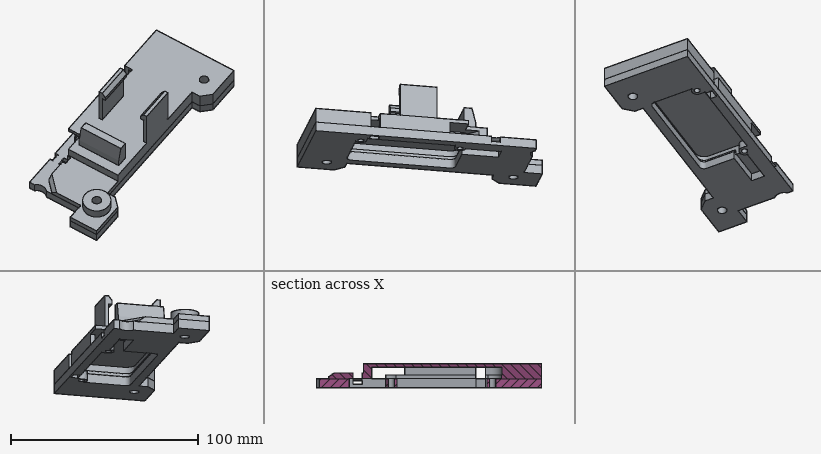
import cadquery as cq
import math

base_height = 5.0
lip_height = 2.0
cover_low_top = 8.0
cover_top = 13.0
ceiling_thickness = 2.0
cavity_top = cover_top - ceiling_thickness

body_width = 40.0
tab_reach = 10.0
full_width = body_width + tab_reach
full_length = 129.7
front_edge = 9.9
tab_left = 33.0
tab_length = 25.0
tab_chamfer = 5.0
strip_width = 8.0

notch_radius = 10.5 / 2
notch_x = 7.1
notch_half_chord = 3.85

screw_x = 40.4
screw_inset = 14.2
screw_ys = (screw_inset, full_length - screw_inset)
screw_diameter = 5.0
boss_diameter = 15.0

wall = 2.45
lip_clearance = 0.25
lip_thickness = 1.25
ledge_width = 1.0
corner_radius = 5.0
cavity_front = 44.75
cavity_back = 108.6
cavity_chamfer = 5.35
pad_radius = 3.0
pad_hole_diameter = 3.2
pad_pocket_diameter = 9.4
pad_inset = 5.0
pad_x = 8.0
pad_ys = (cavity_front + pad_inset, cavity_back - pad_inset)

step_y = 34.9
corner_cut_back = 46.7
window_back = 56.8
side_slot_front = 94.7
side_slot_back = 99.7
side_slot_depth = 4.75
side_slot_sill = 1.15
bevel_leg = 6.5
bevel_bottom = 6.0
bevel_setback = 2.95

tie_front = 29.4
tie_back = 34.2
tie_end = 9.85
tie_floor = 2.0
saddle_left = 1.65
saddle_right = 5.8
saddle_bottom = 3.7

bay_margin = 2.0
bay_front = tie_front - bay_margin
bay_right = strip_width + cavity_chamfer + lip_thickness + ledge_width
bay_back = cavity_front + lip_clearance + lip_thickness + ledge_width

clip_outer_xs = (9.4, body_width)
clip_thickness = 2.0
clip_front = 61.9
clip_length = 20.0
clip_top = 35.0
hook_reach = 2.0
hook_bottom = 30.5
hook_bevel = 2.5
stop_left = 10.95
stop_right = 36.5
stop_back = 46.9
stop_bottom_depth = 6.3
stop_top_depth = 4.2
stop_slope_start = 17.0
stop_top = 25.1


def box(x0, x1, y0, y1, z0, z1):
    """Axis-aligned block between two opposite corners."""
    return cq.Workplane("XY").box(x1 - x0, y1 - y0, z1 - z0, centered=False).translate((x0, y0, z0))


def cylinder(x, y, diameter, z0, z1):
    """Upright cylinder."""
    return cq.Workplane("XY", origin=(x, y, z0)).circle(diameter / 2).extrude(z1 - z0)


def prism(points, z0, z1):
    """Upright prism over a closed plan outline."""
    return cq.Workplane("XY", origin=(0, 0, z0)).polyline(points).close().extrude(z1 - z0)


def plan_prism(z0, z1):
    """Body outline shared by the base and the cover, with the two chamfered tabs."""
    front_tab_back = tab_length
    back_tab_front = full_length - tab_length
    neck = full_width - tab_chamfer
    points = [
        (0, front_edge),
        (tab_left, front_edge),
        (tab_left, 0),
        (full_width, 0),
        (full_width, front_tab_back - tab_chamfer),
        (neck, front_tab_back),
        (body_width, front_tab_back),
        (body_width, back_tab_front),
        (neck, back_tab_front),
        (full_width, back_tab_front + tab_chamfer),
        (full_width, full_length),
        (0, full_length),
    ]
    return prism(points, z0, z1)


def rounded_room(inset, z0, z1):
    """Rounded rectangle inset from the cavity walls, with corners that stay concentric."""
    margin = wall + inset
    room = box(margin, body_width - margin, cavity_front + inset, cavity_back - inset, z0, z1)
    return room.edges("|Z").fillet(corner_radius + lip_clearance - inset)


def cut_screw_holes(body):
    for y in screw_ys:
        body = body.cut(cylinder(screw_x, y, screw_diameter, 0, cover_top))
    return body


def make_tie_passage():
    """Passage for a cable tie: a cross slot that dips under a rounded saddle."""
    slot = box(0, strip_width, tie_front, tie_back, tie_floor, base_height)
    saddle_middle = (saddle_left + saddle_right) / 2
    saddle = (
        cq.Workplane("XZ", origin=(0, tie_back, 0))
        .moveTo(saddle_left, base_height)
        .threePointArc((saddle_middle, saddle_bottom), (saddle_right, base_height))
        .close()
        .extrude(tie_back - tie_front)
    )
    return slot.cut(saddle)


def make_base():
    lip_top = base_height + lip_height
    lip = rounded_room(lip_clearance, base_height, lip_top)
    body = plan_prism(0, base_height).union(lip)

    lip_inset = lip_clearance + lip_thickness
    body = body.cut(rounded_room(lip_inset, base_height, lip_top))
    opening = rounded_room(lip_inset + ledge_width, 0, base_height)
    opening = opening.cut(box(0, strip_width, 0, corner_cut_back, 0, base_height))
    body = body.cut(opening).cut(box(strip_width, bay_right, bay_front, bay_back, 0, lip_top))
    body = body.cut(box(0, strip_width, 0, corner_cut_back, base_height, lip_top))

    for y in pad_ys:
        body = body.cut(cylinder(pad_x, y, pad_pocket_diameter, base_height, lip_top))
        body = body.union(cylinder(pad_x, y, 2 * pad_radius, 0, base_height))
        body = body.union(box(wall, pad_x, y - pad_radius, y + pad_radius, 0, base_height))
        body = body.cut(cylinder(pad_x, y, pad_hole_diameter, 0, base_height))

    notch_y = front_edge - math.sqrt(notch_radius**2 - notch_half_chord**2)
    body = body.cut(cylinder(notch_x, notch_y, 2 * notch_radius, 0, base_height))

    body = body.cut(make_tie_passage())
    body = body.cut(box(side_slot_sill, side_slot_depth, side_slot_front, side_slot_back, 0, lip_top))
    return cut_screw_holes(body)


def make_clip(outer_x, inward):
    """Upright snap clip; inward is +1 or -1, the X direction in which its hook points."""
    blade_x = outer_x + inward * clip_thickness
    hook_x = blade_x + inward * hook_reach
    profile = [
        (outer_x, cavity_top),
        (blade_x, cavity_top),
        (blade_x, hook_bottom),
        (hook_x, hook_bottom),
        (hook_x, clip_top - hook_bevel),
        (blade_x, clip_top),
        (outer_x, clip_top),
    ]
    plane = cq.Workplane("XZ", origin=(0, clip_front + clip_length, 0))
    return plane.polyline(profile).close().extrude(clip_length)


def make_stop():
    """Wedge-shaped stop with a sloping front."""
    stop_front = stop_back - stop_bottom_depth
    profile = [
        (stop_back, cavity_top),
        (stop_front, cavity_top),
        (stop_front, stop_slope_start),
        (stop_back - stop_top_depth, stop_top),
        (stop_back, stop_top),
    ]
    plane = cq.Workplane("YZ", origin=(stop_left, 0, 0))
    return plane.polyline(profile).close().extrude(stop_right - stop_left)


def make_bevel_cut():
    """Cutter for the front left corner of the cover: upright below, sloping above."""

    def corner(leg):
        return [
            (strip_width, front_edge),
            (strip_width + leg, front_edge),
            (strip_width, front_edge + leg),
        ]

    upright = prism(corner(bevel_leg), base_height, bevel_bottom)
    sloping = (
        cq.Workplane("XY", origin=(0, 0, bevel_bottom))
        .polyline(corner(bevel_leg))
        .close()
        .workplane(offset=cover_low_top - bevel_bottom)
        .polyline(corner(bevel_leg + bevel_setback))
        .close()
        .loft(ruled=True)
    )
    return upright.union(sloping)


def make_cover():
    body = plan_prism(base_height, cover_top)
    body = body.cut(box(0, full_width, 0, step_y, cover_low_top, cover_top))
    body = body.cut(box(0, strip_width, 0, corner_cut_back, base_height, cover_top))
    body = body.union(cylinder(screw_x, screw_inset, boss_diameter, base_height, cover_top))

    body = body.cut(rounded_room(0, base_height, cavity_top))
    bay_points = [
        (strip_width, cavity_front - cavity_chamfer),
        (strip_width + cavity_chamfer, cavity_front),
        (strip_width + cavity_chamfer, window_back),
        (strip_width, window_back),
    ]
    body = body.cut(prism(bay_points, base_height, cavity_top))
    body = body.cut(box(0, strip_width, 0, window_back, base_height, cavity_top))
    body = body.cut(box(0, side_slot_depth, side_slot_front, side_slot_back, base_height, cover_top))

    body = body.cut(box(strip_width, tie_end, tie_front, tie_back, base_height, cover_low_top))
    body = body.cut(make_bevel_cut())

    left_x, right_x = clip_outer_xs
    body = body.union(make_clip(left_x, 1)).union(make_clip(right_x, -1)).union(make_stop())
    return cut_screw_holes(body)


base = make_base()
cover = make_cover()

result = cq.Compound.makeCompound([base.val(), cover.val()])